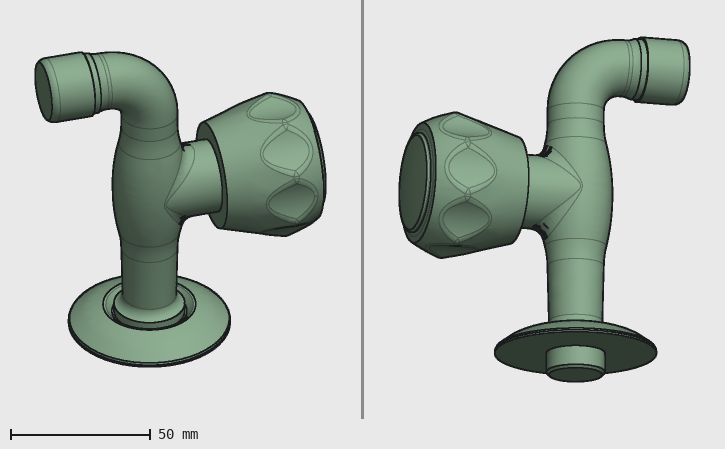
import cadquery as cq
import math


total_height = 126.8
spout_radius = 11.7
spout_axis_z = total_height - spout_radius
spout_end_y = -39.5
stem_axis_z = 66.6
handle_base_y = 23.3
cap_end_y = 62.1

tail_radius = 10.5
tail_chamfer = 1.0

plate_radius = 58.0 / 2
plate_bottom_z = 8.0
plate_rim_z = 8.7
plate_edge_inset = 0.4
plate_dome_start_z = 9.5
plate_top_z = 15.7
plate_dome_bulge = 0.9
recess_mouth_radius = 15.7
recess_lip_width = 0.9
recess_lip_drop = 0.1
recess_floor_radius = 13.5
recess_floor_z = 12.7

collar_radius = 12.7
collar_top_z = 16.1
neck_bottom_z = 19.9
neck_bottom_radius = 9.6
neck_flare_hollow = 0.8
pipe_radius = 10.1
bulge_radius = 13.3
bulge_half_height = 26.1
bulge_crown_half_height = 18.9
elbow_bend_radius = 17.0
elbow_start_z = spout_axis_z - elbow_bend_radius

flare_start_y = -18.3
flare_end_y = -21.3
shoulder_radius = 10.9
nozzle_start_y = -23.7
nozzle_edge_y = -36.9
nozzle_face_radius = 10.5

stem_radius = 13.2
stem_fillet = 5.1

handle_base_radius = 19.3
handle_ridge_y = 47.7
handle_ridge_radius = 26.5
handle_crown_bulge = 0.3
handle_end_y = 58.7
handle_end_radius = 21.5
scallop_count = 8
scallop_depth_radius = 23.3
scallop_radius = 24.1
scallop_edge_fillet = 3.2
scallop_band = (38.0, 54.5)

cap_seat_y = 59.1
cap_seat_radius = 19.3
cap_side_y = 59.5
cap_radius = 17.9
cap_shoulder_y = 60.1
cap_dome_y = 60.7
cap_dome_radius = 17.0


def turned_about_z(profile):
    """Revolve a closed (radius, z) outline about the column axis."""
    return profile.close().revolve(360, (0, 0, 0), (0, 1, 0))


def turned_about_y(profile, axis_z):
    """Revolve a closed (radius, y) outline about a line along Y at height axis_z."""
    return profile.close().revolve(360, (0, 0, 0), (0, 1, 0)).translate((0, 0, axis_z))


def bulged_midpoint(start, end, bulge):
    """Midpoint of the chord start-end, pushed to the left of its direction by bulge."""
    dx = end[0] - start[0]
    dy = end[1] - start[1]
    length = math.hypot(dx, dy)
    middle_x = (start[0] + end[0]) / 2 - bulge * dy / length
    middle_y = (start[1] + end[1]) / 2 + bulge * dx / length
    return (middle_x, middle_y)


def make_plate():
    dome_start = (plate_radius - plate_edge_inset, plate_dome_start_z)
    dome_end = (recess_mouth_radius + recess_lip_width, plate_top_z - recess_lip_drop)
    outline = (
        cq.Workplane("XZ")
        .moveTo(0, plate_bottom_z)
        .lineTo(plate_radius, plate_bottom_z)
        .lineTo(plate_radius, plate_rim_z)
        .lineTo(*dome_start)
        .threePointArc(bulged_midpoint(dome_start, dome_end, -plate_dome_bulge), dome_end)
        .threePointArc(
            (recess_mouth_radius + recess_lip_width / 2, plate_top_z),
            (recess_mouth_radius, plate_top_z - 2 * recess_lip_drop),
        )
        .lineTo(recess_floor_radius, recess_floor_z)
        .lineTo(0, recess_floor_z)
    )
    return turned_about_z(outline)


def make_column():
    bulge_rise = bulge_radius - pipe_radius
    blend_angle = 2 * math.atan(bulge_rise / bulge_half_height)
    crown_arc_radius = bulge_crown_half_height / math.sin(blend_angle)
    blend_arc_radius = bulge_half_height / math.sin(blend_angle) - crown_arc_radius
    crown_edge_radius = bulge_radius - crown_arc_radius * (1 - math.cos(blend_angle))
    blend_mid_radius = pipe_radius + blend_arc_radius * (1 - math.cos(blend_angle / 2))
    blend_mid_half_height = bulge_half_height - blend_arc_radius * math.sin(blend_angle / 2)

    bulge_bottom_z = stem_axis_z - bulge_half_height
    bulge_top_z = stem_axis_z + bulge_half_height
    neck_bottom = (neck_bottom_radius, neck_bottom_z)
    collar_edge = (collar_radius, collar_top_z)
    outline = (
        cq.Workplane("XZ")
        .lineTo(tail_radius - tail_chamfer, 0)
        .lineTo(tail_radius, tail_chamfer)
        .lineTo(tail_radius, plate_bottom_z)
        .lineTo(collar_radius, plate_bottom_z)
        .lineTo(*collar_edge)
        .threePointArc(bulged_midpoint(collar_edge, neck_bottom, neck_flare_hollow), neck_bottom)
        .lineTo(pipe_radius, bulge_bottom_z)
        .threePointArc(
            (blend_mid_radius, stem_axis_z - blend_mid_half_height),
            (crown_edge_radius, stem_axis_z - bulge_crown_half_height),
        )
        .threePointArc(
            (bulge_radius, stem_axis_z),
            (crown_edge_radius, stem_axis_z + bulge_crown_half_height),
        )
        .threePointArc(
            (blend_mid_radius, stem_axis_z + blend_mid_half_height),
            (pipe_radius, bulge_top_z),
        )
        .lineTo(pipe_radius, elbow_start_z)
        .lineTo(0, elbow_start_z)
    )
    return turned_about_z(outline)


def make_elbow():
    return (
        cq.Workplane("XY", origin=(0, 0, elbow_start_z))
        .circle(pipe_radius)
        .revolve(90, (0, -elbow_bend_radius, 0), (1, -elbow_bend_radius, 0))
    )


def make_spout():
    flare_start = (pipe_radius, flare_start_y)
    nozzle_edge = (spout_radius, nozzle_edge_y)
    outline = (
        cq.Workplane("XY")
        .moveTo(0, -elbow_bend_radius)
        .lineTo(pipe_radius, -elbow_bend_radius)
        .lineTo(*flare_start)
        .tangentArcPoint((shoulder_radius, flare_end_y), relative=False)
        .lineTo(shoulder_radius, nozzle_start_y)
        .lineTo(spout_radius, nozzle_start_y)
        .lineTo(*nozzle_edge)
        .tangentArcPoint((nozzle_face_radius, spout_end_y), relative=False)
        .lineTo(0, spout_end_y)
    )
    return turned_about_y(outline, spout_axis_z)


def make_handle():
    ridge = (handle_ridge_radius, handle_ridge_y)
    end = (handle_end_radius, handle_end_y)
    outline = (
        cq.Workplane("XY")
        .moveTo(0, handle_base_y)
        .lineTo(handle_base_radius, handle_base_y)
        .lineTo(*ridge)
        .threePointArc(bulged_midpoint(ridge, end, -handle_crown_bulge), end)
        .lineTo(0, handle_end_y)
    )
    grip = turned_about_y(outline, 0)
    cutter = (
        cq.Workplane("XZ", origin=(scallop_depth_radius + scallop_radius, 0, 0))
        .circle(scallop_radius)
        .extrude(-cap_end_y)
    )
    for index in range(scallop_count):
        angle = index * 360 / scallop_count
        grip = grip.cut(cutter.rotate((0, 0, 0), (0, 1, 0), angle))
    band = cq.selectors.BoxSelector(
        (-plate_radius, scallop_band[0], -plate_radius),
        (plate_radius, scallop_band[1], plate_radius),
    )
    return grip.edges(band).fillet(scallop_edge_fillet).translate((0, 0, stem_axis_z))


def make_cap():
    dome_height = cap_end_y - cap_dome_y
    dome_sphere_radius = (cap_dome_radius**2 + dome_height**2) / (2 * dome_height)
    outline = (
        cq.Workplane("XY")
        .moveTo(0, handle_end_y)
        .lineTo(handle_end_radius, handle_end_y)
        .lineTo(cap_seat_radius, cap_seat_y)
        .lineTo(cap_radius, cap_side_y)
        .lineTo(cap_radius, cap_shoulder_y)
        .tangentArcPoint((cap_dome_radius, cap_dome_y), relative=False)
        .radiusArc((0, cap_end_y), -dome_sphere_radius)
    )
    return turned_about_y(outline, stem_axis_z)


def make_body():
    """Column with the stem joined to it and the joint rounded."""
    stem = (
        cq.Workplane("XZ", origin=(0, 0, stem_axis_z))
        .circle(stem_radius)
        .extrude(-handle_base_y)
    )
    body = make_column().union(stem)
    joint = body.edges("%BSPLINE")
    return joint.fillet(stem_fillet)


result = (
    make_body()
    .union(make_plate())
    .union(make_elbow())
    .union(make_spout())
    .union(make_handle())
    .union(make_cap())
)